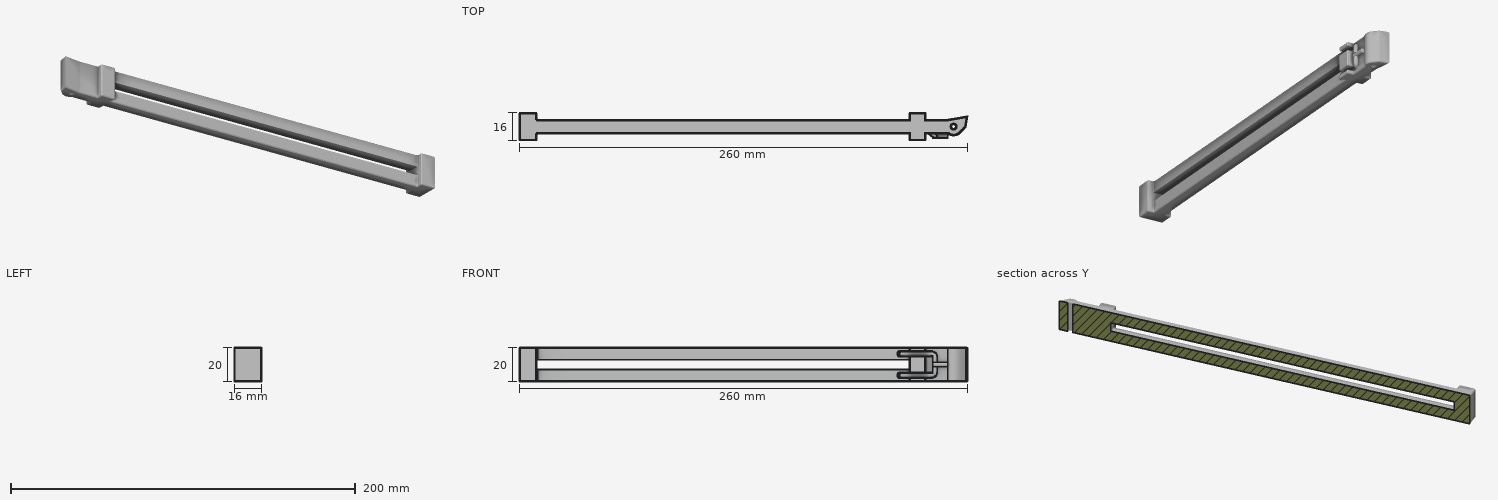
import cadquery as cq
import math


LENGTH = 260.0
HEIGHT = 20.0
BLOCK_DEPTH = 16.0
LEG_DEPTH = 8.0
LEG_GAP = 5.5
END_BLOCK_LENGTH = 10.1
CROSS_START = 226.2
CROSS_END = 235.8
BEVEL = 0.5

PIVOT_X = 252.0
PIVOT_HOLE_RADIUS = 1.3
KNUCKLE_RADIUS = 5.2
NOSE_START_X = 248.5
NOSE_CORNER_X = 259.0
NOSE_TIP_Y = 6.0

WIRE_RADIUS = 1.3
PRONG_START = 221.8
PRONG_Y = -1.8
PRONG_Z = 6.2
RAMP_START = 235.0
RAMP_ANGLE = math.radians(38)
RAMP_BEND_RADIUS = 4.0
CROSSBAR_X = 241.0
CORNER_RADIUS = 1.5
SLOT_START = 219.7
SLOT_END = 239.0
STEM_START = 239.7
STEM_END = 248.5

MARGIN = 0.13

half_height = HEIGHT / 2
half_block = BLOCK_DEPTH / 2
half_leg = LEG_DEPTH / 2
slot_floor_y = PRONG_Y + WIRE_RADIUS

ramp_x = RAMP_START + RAMP_BEND_RADIUS * math.sin(RAMP_ANGLE)
ramp_y = PRONG_Y - RAMP_BEND_RADIUS * (1 - math.cos(RAMP_ANGLE))
crossbar_y = ramp_y - (CROSSBAR_X - ramp_x) * math.tan(RAMP_ANGLE)


def box_between(x0, x1, y0, y1, z0, z1):
    return cq.Workplane("XY").box(x1 - x0, y1 - y0, z1 - z0, centered=False).translate((x0, y0, z0))


def edges_between(x0, x1, y0, y1, z0, z1):
    """Selector of the edges centred in a box, with a little slack around it."""
    return cq.selectors.BoxSelector(
        (x0 - MARGIN, y0 - MARGIN, z0 - MARGIN), (x1 + MARGIN, y1 + MARGIN, z1 + MARGIN)
    )


def build_blank():
    """Extruded outline: end block, leg, cross block, and the knuckle with its pointed nose."""
    knuckle_start_x = PIVOT_X - math.sqrt(KNUCKLE_RADIUS**2 - half_leg**2)
    knuckle_end = KNUCKLE_RADIUS * math.cos(math.radians(45))
    nose_corner_y = NOSE_CORNER_X - PIVOT_X - 2 * knuckle_end
    return (
        cq.Workplane("XY", origin=(0, 0, -half_height))
        .moveTo(0, -half_block)
        .lineTo(END_BLOCK_LENGTH, -half_block)
        .lineTo(END_BLOCK_LENGTH, -half_leg)
        .lineTo(CROSS_START, -half_leg)
        .lineTo(CROSS_START, -half_block)
        .lineTo(CROSS_END, -half_block)
        .lineTo(CROSS_END, -half_leg)
        .lineTo(knuckle_start_x, -half_leg)
        .threePointArc((PIVOT_X, -KNUCKLE_RADIUS), (PIVOT_X + knuckle_end, -knuckle_end))
        .lineTo(NOSE_CORNER_X, nose_corner_y)
        .lineTo(LENGTH, NOSE_TIP_Y)
        .lineTo(NOSE_START_X, half_leg)
        .lineTo(CROSS_END, half_leg)
        .lineTo(CROSS_END, half_block)
        .lineTo(CROSS_START, half_block)
        .lineTo(CROSS_START, half_leg)
        .lineTo(END_BLOCK_LENGTH, half_leg)
        .lineTo(END_BLOCK_LENGTH, half_block)
        .lineTo(0, half_block)
        .close()
        .extrude(HEIGHT)
    )


def bevel_outline(body):
    """Drill the pivot hole, then bevel the block corners and the rims of the top and bottom faces."""
    end_block = edges_between(0, END_BLOCK_LENGTH, -half_block, half_block, 0, 0)
    cross_front = edges_between(CROSS_START, CROSS_END, -half_block, -half_block, 0, 0)
    cross_back = edges_between(CROSS_START, CROSS_END, half_block, half_block, 0, 0)
    body = body.edges("|Z").edges(end_block + cross_front + cross_back).chamfer(BEVEL)
    hole = cq.Workplane("XY", origin=(PIVOT_X, 0, -half_height)).circle(PIVOT_HOLE_RADIUS).extrude(HEIGHT)
    return body.cut(hole).faces("<Z or >Z").edges().chamfer(BEVEL)


def cut_leg_gap(body):
    gap = box_between(END_BLOCK_LENGTH, CROSS_START, -half_block, half_block, -LEG_GAP / 2, LEG_GAP / 2)
    return body.cut(gap)


def cut_hook_slot(body, z):
    """Cut one slot open towards -Y, round at its left end, and bevel its mouth."""
    round_x = SLOT_START + WIRE_RADIUS
    low_z = z - WIRE_RADIUS
    high_z = z + WIRE_RADIUS
    straight = box_between(round_x, SLOT_END, -half_block, slot_floor_y, low_z, high_z)
    round_end = (
        cq.Workplane("XZ", origin=(round_x, slot_floor_y, z))
        .circle(WIRE_RADIUS)
        .extrude(half_block + slot_floor_y)
    )
    body = body.cut(straight.union(round_end))
    mouth = edges_between(SLOT_START, SLOT_END, -half_block, -half_leg, low_z, high_z)
    return body.edges(mouth).chamfer(BEVEL)


def build_frame(hooks):
    body = cut_leg_gap(bevel_outline(build_blank()))
    for z in (-PRONG_Z, PRONG_Z):
        body = cut_hook_slot(body, z)
    for hook in hooks:
        body = body.cut(hook)
    return body


def build_hook(side):
    """Prong, ramp and half crossbar bent from one wire; side is +1 for the upper hook, -1 for the lower."""
    z = side * PRONG_Z
    along = cq.Vector(1, 0, 0)
    down_ramp = cq.Vector(math.cos(RAMP_ANGLE), -math.sin(RAMP_ANGLE), 0)
    inward = cq.Vector(0, 0, -side)
    prong_start = cq.Vector(PRONG_START, PRONG_Y, z)
    bend_start = cq.Vector(RAMP_START, PRONG_Y, z)
    bend_end = cq.Vector(ramp_x, ramp_y, z)
    corner = cq.Vector(CROSSBAR_X, crossbar_y, z)
    corner_start = corner - down_ramp * CORNER_RADIUS
    corner_end = corner + inward * CORNER_RADIUS
    crossbar_end = cq.Vector(CROSSBAR_X, crossbar_y, side * WIRE_RADIUS)
    path = cq.Wire.assembleEdges(
        [
            cq.Edge.makeLine(prong_start, bend_start),
            cq.Edge.makeTangentArc(bend_start, along, bend_end),
            cq.Edge.makeLine(bend_end, corner_start),
            cq.Edge.makeTangentArc(corner_start, down_ramp, corner_end),
            cq.Edge.makeLine(corner_end, crossbar_end),
        ]
    )
    wire = cq.Workplane("YZ", origin=prong_start.toTuple()).circle(WIRE_RADIUS).sweep(path)
    tip = cq.Workplane("XY").sphere(WIRE_RADIUS).translate(prong_start)
    return wire.union(tip)


def build_stem():
    """Straight wire that lies between the crossbar ends and reaches to the knuckle."""
    section = cq.Workplane("YZ", origin=(STEM_START, crossbar_y, 0))
    return section.circle(WIRE_RADIUS).extrude(STEM_END - STEM_START)


hooks = [build_hook(side) for side in (-1, 1)]
stem = build_stem()
frame = build_frame(hooks)

result = cq.Compound.makeCompound([frame.val(), stem.val(), *[hook.val() for hook in hooks]])